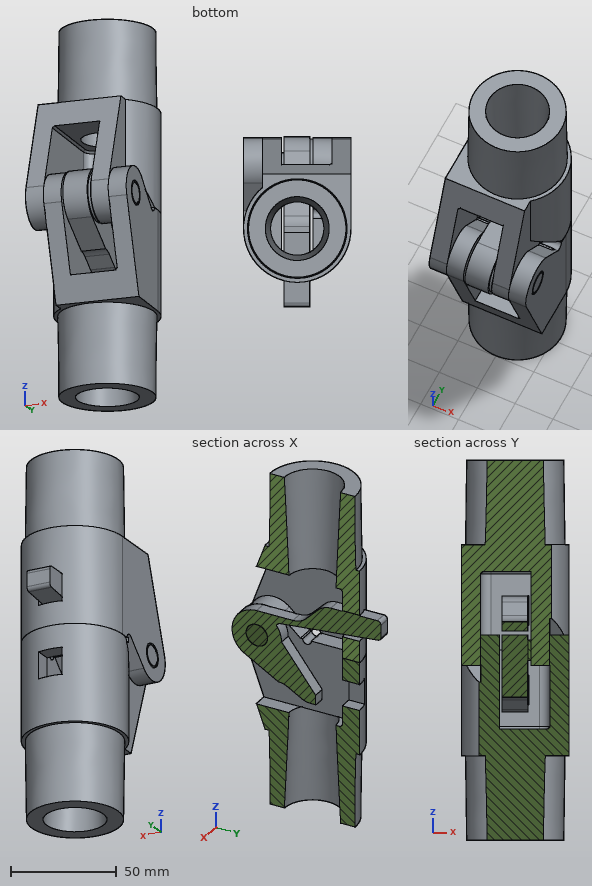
import cadquery as cq
import math

total_length = 180.0
block_height = 50.0
block_width = 51.0
spigot_tip_radius = 23.0
spigot_root_radius = 23.5
bore_mouth_radius = 15.1
bore_end_radius = 12.6
bore_end_z = 37.3

hinge_y = -30.0
ear_radius = 13.0
bracket_top_y = -25.7
outer_ear_inner_x = 16.4
inner_ear_face_x = 7.4
relief_y = -7.0
relief_radius = 2.3

pocket_back_y = 16.2
pocket_height = bore_end_z
pocket_corner_radius = 4.9
pocket_bevel = 1.0
window_half_width = 6.3
window_bottom = 11.9
window_top = 25.7

pin_radius = 6.0
pin_chamfer = 0.9
washer_radius = 12.5

lever_left_x = -window_half_width
lever_right_x = 6.0
drum_radius = 13.5
bend_radius = 9.9
handle_back_y = 37.0
handle_top_z = window_top
handle_low_z = drum_radius
handle_step_y = -0.2
handle_step_angle = 45.0
handle_bottom_z = 15.1
handle_root_y = -18.0
handle_root_z = 9.5
handle_corner_radius = 2.0
finger_angle = 30.0
finger_heel_z = -22.3
finger_tip_z = -29.3
finger_tip_length = 2.7
finger_tip_thickness = 5.4

barrel_radius = block_width / 2
half_length = total_length / 2
hinge = (hinge_y, 0)
relief = (relief_y, 0)


def polar(centre, radius, angle):
    """Point on a circle in the YZ plane; the angle runs from +Y towards +Z, in degrees."""
    turn = math.radians(angle)
    return (centre[0] + radius * math.cos(turn), centre[1] + radius * math.sin(turn))


def side_sketch(x):
    """Workplane whose local axes are Y and Z, at the given X."""
    return cq.Workplane("YZ", origin=(x, 0, 0))


def x_cylinder(y, radius, x_start, x_end):
    """Solid cylinder along X with its axis at Z = 0."""
    return side_sketch(x_start).center(y, 0).circle(radius).extrude(x_end - x_start)


def cone(low_radius, high_radius, low_z, high_z):
    """Tapered round solid on the tube axis."""
    return (
        cq.Workplane("XZ")
        .polyline([(0, low_z), (low_radius, low_z), (high_radius, high_z), (0, high_z)])
        .close()
        .revolve(360, (0, 0, 0), (0, 1, 0))
    )


def bracket():
    """Flat-sided bracket that carries the ears of one half."""
    corner_dy = bracket_top_y - hinge_y
    corner_distance = math.hypot(corner_dy, block_height)
    front_angle = math.degrees(
        math.atan2(block_height, corner_dy) + math.acos(ear_radius / corner_distance)
    )
    flank_tilt = math.degrees(math.asin((ear_radius + relief_radius) / (relief_y - hinge_y)))
    underside_angle = 270 + flank_tilt
    return (
        side_sketch(-barrel_radius)
        .moveTo(0, 0)
        .lineTo(0, block_height)
        .lineTo(bracket_top_y, block_height)
        .lineTo(*polar(hinge, ear_radius, front_angle))
        .threePointArc(
            polar(hinge, ear_radius, (front_angle + underside_angle) / 2),
            polar(hinge, ear_radius, underside_angle),
        )
        .lineTo(*polar(relief, relief_radius, flank_tilt + 90))
        .lineTo(*relief)
        .close()
        .extrude(barrel_radius + outer_ear_inner_x)
    )


def pocket():
    """Open-fronted pocket for the other half's inner ear, bevelled where the ceiling meets
    the outer side wall and the back."""
    width = outer_ear_inner_x + inner_ear_face_x
    depth = pocket_back_y - hinge_y + 2 * ear_radius
    box = (
        cq.Workplane("XY", origin=(-outer_ear_inner_x, pocket_back_y - depth, -block_height))
        .box(width, depth, block_height + pocket_height, centered=False)
    )
    rounded = box.edges("|Z and <X and >Y").fillet(pocket_corner_radius)
    ceiling_corner = (-outer_ear_inner_x, pocket_back_y, pocket_height)
    corner_edge = cq.selectors.NearestToPointSelector(ceiling_corner)
    return rounded.faces(">Z").edges(corner_edge).chamfer(pocket_bevel)


def swing_clearance():
    """45 degree cut beside the bracket, tangent to the relief hole, that clears the other
    half's outer ear."""
    start_y = relief_y + relief_radius * math.sqrt(2)
    reach = block_height
    return (
        side_sketch(outer_ear_inner_x)
        .polyline([(start_y, 0), (start_y - reach, reach), (start_y - reach, 0)])
        .close()
        .extrude(barrel_radius)
    )


def rear_window():
    """Opening through the rear wall for the lever's handle."""
    return (
        cq.Workplane("XY", origin=(-window_half_width, 0, window_bottom))
        .box(2 * window_half_width, barrel_radius, window_top - window_bottom, centered=False)
    )


def tube_half():
    """Upper half; the lower one is the same body turned half a turn about Y."""
    barrel = cq.Workplane("XY").circle(barrel_radius).extrude(block_height)
    spigot = cone(spigot_root_radius, spigot_tip_radius, block_height, half_length)
    body = barrel.union(spigot).union(bracket())
    cuts = (
        cone(bore_end_radius, bore_mouth_radius, bore_end_z, half_length),
        pocket(),
        swing_clearance(),
        rear_window(),
        x_cylinder(relief_y, relief_radius, -barrel_radius, barrel_radius),
        x_cylinder(hinge_y, pin_radius, -barrel_radius, barrel_radius),
    )
    for cut in cuts:
        body = body.cut(cut)
    return body


def hinge_pin():
    pin = x_cylinder(hinge_y, pin_radius, -barrel_radius, barrel_radius)
    return pin.faces("<X or >X").chamfer(pin_chamfer)


def hinge_washer():
    """Washer between the lever and the upper half's inner ear."""
    disc = x_cylinder(hinge_y, washer_radius, lever_right_x, inner_ear_face_x)
    return disc.cut(x_cylinder(hinge_y, pin_radius, lever_right_x, inner_ear_face_x))


def step_length(height, angle):
    """Y length of an S-shaped step of the given height and slope."""
    turn = math.radians(angle)
    bend_height = bend_radius * (1 - math.cos(turn))
    straight = (height - 2 * bend_height) / math.tan(turn)
    return straight + 2 * bend_radius * math.sin(turn)


def add_step(sketch, start, height, angle, rise):
    """Draw an S-shaped step towards +Y from a level start; rise is 1 for up and -1 for down."""
    end = (start[0] + step_length(height, angle), start[1] + rise * height)
    first_centre = (start[0], start[1] + rise * bend_radius)
    last_centre = (end[0], end[1] - rise * bend_radius)
    first_angles = [rise * (turn - 90) for turn in (angle / 2, angle)]
    last_angles = [rise * (turn + 90) for turn in (angle, angle / 2)]
    return (
        sketch.lineTo(*start)
        .threePointArc(*[polar(first_centre, bend_radius, turn) for turn in first_angles])
        .lineTo(*polar(last_centre, bend_radius, last_angles[0]))
        .threePointArc(polar(last_centre, bend_radius, last_angles[1]), end)
    )


def lever_handle(width):
    """Handle that steps up from the drum and leaves through the rear window."""
    height = handle_top_z - handle_low_z
    step_start = (handle_step_y - step_length(height, handle_step_angle) / 2, handle_low_z)
    sketch = side_sketch(lever_left_x).moveTo(*hinge).lineTo(hinge_y, handle_low_z)
    handle = (
        add_step(sketch, step_start, height, handle_step_angle, 1)
        .lineTo(handle_back_y, handle_top_z)
        .lineTo(handle_back_y, handle_bottom_z)
        .lineTo(handle_root_y, handle_root_z)
        .close()
        .extrude(width)
    )
    return handle.faces(">Y").edges("|X").fillet(handle_corner_radius)


def lever_finger(width):
    """Finger that leaves the drum on a tangent and steps down to its tip."""
    slope = math.radians(finger_angle)
    start = polar(hinge, drum_radius, -90 - finger_angle)
    heel = (start[0] + (start[1] - finger_heel_z) / math.tan(slope), finger_heel_z)
    height = finger_heel_z - finger_tip_z
    tip_end_y = heel[0] + step_length(height, finger_angle) + finger_tip_length
    sketch = side_sketch(lever_left_x).moveTo(*hinge).lineTo(*start)
    return (
        add_step(sketch, heel, height, finger_angle, -1)
        .lineTo(tip_end_y, finger_tip_z)
        .lineTo(tip_end_y, finger_tip_z + finger_tip_thickness)
        .lineTo(hinge_y + drum_radius, 0)
        .close()
        .extrude(width)
    )


def latch_lever():
    width = lever_right_x - lever_left_x
    drum = x_cylinder(hinge_y, drum_radius, lever_left_x, lever_right_x)
    hole = x_cylinder(hinge_y, pin_radius, lever_left_x, lever_right_x)
    return drum.union(lever_handle(width)).union(lever_finger(width)).cut(hole)


upper_half = tube_half()
lower_half = upper_half.rotate((0, 0, 0), (0, 1, 0), 180)
pin = hinge_pin()
washer = hinge_washer()
lever = latch_lever()

result = cq.Compound.makeCompound(
    [upper_half.val(), lower_half.val(), pin.val(), washer.val(), lever.val()]
)